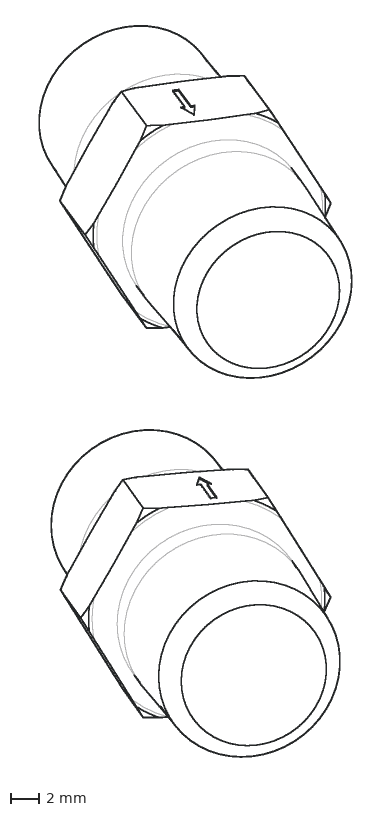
import cadquery as cq
import math

length = 35.05

across_corners = 18.33
across_flats = across_corners * math.cos(math.radians(30))
hex_width = 6.7
corner_chamfer_length = 0.3
corner_chamfer_radius = 8.65

neck_radius = 6.95
neck_length = 2.1
fillet_radius = 1.47
taper_slope = 1 / 32
end_chamfer = 1.33

arrow_tail_x = -2.17
arrow_head_x = 0.77
arrow_tip_x = 2.25
arrow_y = -0.8
arrow_shaft_width = 0.45
arrow_head_width = 1.05
arrow_depth = 0.1

half_length = length / 2
hex_side_x = hex_width / 2
neck_start_x = hex_side_x + fillet_radius
taper_start_x = neck_start_x + neck_length
chamfer_start_x = half_length - end_chamfer

corner_radius = across_corners / 2
fillet_top_radius = neck_radius + fillet_radius
taper_end_radius = neck_radius - taper_slope * (chamfer_start_x - taper_start_x)
end_face_radius = taper_end_radius - end_chamfer


def make_turned_half():
    """Revolved half, from the middle plane to the +X end, with a round middle."""
    fillet_mid = fillet_radius * (1 - math.sqrt(0.5))
    profile = (
        cq.Workplane("XY")
        .lineTo(0, corner_radius)
        .lineTo(hex_side_x - corner_chamfer_length, corner_radius)
        .lineTo(hex_side_x, corner_chamfer_radius)
        .lineTo(hex_side_x, fillet_top_radius)
        .threePointArc(
            (hex_side_x + fillet_mid, neck_radius + fillet_mid),
            (neck_start_x, neck_radius),
        )
        .lineTo(taper_start_x, neck_radius)
        .lineTo(chamfer_start_x, taper_end_radius)
        .lineTo(half_length, end_face_radius)
        .lineTo(half_length, 0)
        .close()
    )
    return profile.revolve(360, (0, 0, 0), (1, 0, 0))


def make_hex_bar():
    """Full-length hexagonal bar with two corners on the Y axis and flats facing +Z and -Z."""
    return (
        cq.Workplane("YZ")
        .polygon(6, across_corners)
        .extrude(half_length, both=True)
    )


def make_arrow():
    """Outlined arrow pointing along +X, sunk below the top flat."""
    shaft_half = arrow_shaft_width / 2
    head_half = arrow_head_width / 2
    return (
        cq.Workplane("XY", origin=(0, arrow_y, across_flats / 2 - arrow_depth))
        .polyline([
            (arrow_tail_x, -shaft_half),
            (arrow_head_x, -shaft_half),
            (arrow_head_x, -head_half),
            (arrow_tip_x, 0),
            (arrow_head_x, head_half),
            (arrow_head_x, shaft_half),
            (arrow_tail_x, shaft_half),
        ])
        .close()
        .extrude(arrow_depth)
    )


turned_half = make_turned_half()
turned_body = turned_half.union(turned_half.mirror("YZ"))
result = turned_body.intersect(make_hex_bar()).cut(make_arrow())